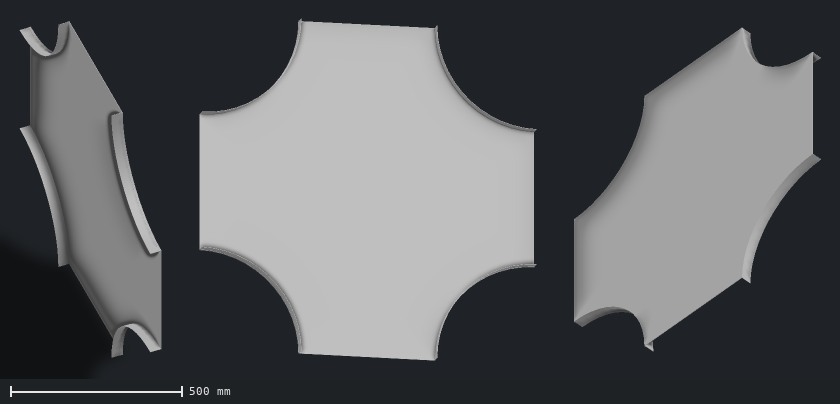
import cadquery as cq

span = 1000.0
depth = 35.0
neck_width = 409.0

plate_thickness = 1.5
lip_thickness = 1.0
lip_depth = 7.0
rim_thickness = 1.0

half_span = span / 2
back = depth / 2
front = -back
plate_front = back - plate_thickness
lip_front = back - lip_depth
bite_radius = (span - neck_width) / 2
rim_inner_radius = bite_radius + lip_thickness
rim_outer_radius = rim_inner_radius + rim_thickness
corners = [(x, z) for x in (-half_span, half_span) for z in (-half_span, half_span)]


def cylinder_along_y(radius, x, z, y_start, y_end):
    """Round block running in +Y from y_start to y_end."""
    axis_start = cq.Vector(x, y_start, z)
    axis_direction = cq.Vector(0, 1, 0)
    return cq.Workplane(cq.Solid.makeCylinder(radius, y_end - y_start, axis_start, axis_direction))


def square_block(y_start, y_end):
    """Block filling the square outline between two Y levels."""
    middle = (y_start + y_end) / 2
    return cq.Workplane("XY").box(span, y_end - y_start, span).translate((0, middle, 0))


def quarter_ring(inner_radius, outer_radius, corner, y_start, y_end):
    """The quarter of a ring around a corner that lies inside the square outline."""
    ring = cylinder_along_y(outer_radius, *corner, y_start, y_end)
    ring = ring.cut(cylinder_along_y(inner_radius, *corner, y_start, y_end))
    return ring.intersect(square_block(y_start, y_end))


def make_plate():
    """Flat sheet with a round bite at each corner, edged by a short lip turned to -Y."""
    plate = square_block(plate_front, back)
    for corner in corners:
        plate = plate.cut(cylinder_along_y(bite_radius, *corner, plate_front, back))
        plate = plate.union(quarter_ring(bite_radius, rim_inner_radius, corner, lip_front, back))
    return plate


def make_rim(corner):
    """Curved side wall standing on the plate against the outside of its lip."""
    return quarter_ring(rim_inner_radius, rim_outer_radius, corner, front, plate_front)


plate = make_plate()
rims = [make_rim(corner) for corner in corners]
result = cq.Compound.makeCompound([plate.val(), *[rim.val() for rim in rims]])